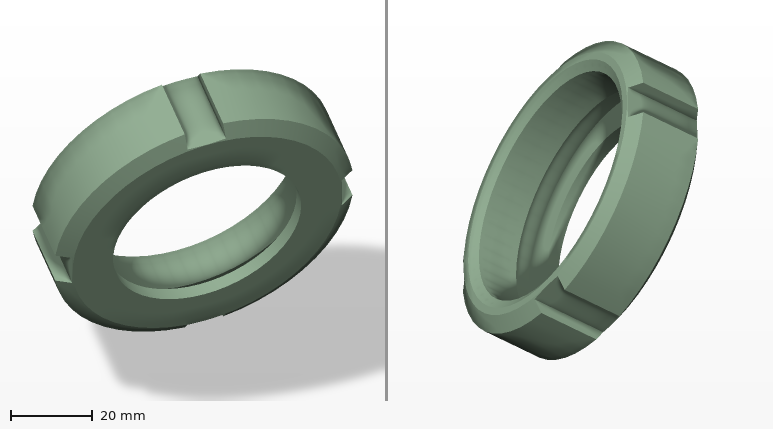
import cadquery as cq
import math

span = 77.35
width = 21.0
slot_width = 10.0
slot_floor = 35.1
face_radius = 35.05
chamfer_length = 2.3
through_diameter = 49.0
bore_diameter = 61.2
mouth_diameter = 66.2
mouth_length = 1.5
relief_diameter = 65.4
relief_length = 5.1
flange_thickness = 3.3
slot_count = 4

outer_radius = math.hypot(span / 2, slot_width / 2)
open_face = -width / 2
closed_face = width / 2
shoulder = closed_face - flange_thickness


def ring_body():
    """Revolve the ring section (axial position, radius) about X."""
    section = [
        (open_face, mouth_diameter / 2),
        (open_face, face_radius),
        (open_face + chamfer_length, outer_radius),
        (closed_face - chamfer_length, outer_radius),
        (closed_face, face_radius),
        (closed_face, through_diameter / 2),
        (shoulder, through_diameter / 2),
        (shoulder, relief_diameter / 2),
        (shoulder - relief_length, relief_diameter / 2),
        (shoulder - relief_length, bore_diameter / 2),
        (open_face + mouth_length, bore_diameter / 2),
    ]
    profile = cq.Workplane("XY").polyline(section).close()
    return profile.revolve(360, (0, 0, 0), (1, 0, 0))


def spanner_slot(angle):
    """Cutter for one full-width slot at the given angle about X."""
    cutter_height = outer_radius
    cutter = cq.Workplane("XY").box(width, slot_width, cutter_height)
    cutter = cutter.translate((0, 0, slot_floor + cutter_height / 2))
    return cutter.rotate((0, 0, 0), (1, 0, 0), angle)


result = ring_body()
for index in range(slot_count):
    result = result.cut(spanner_slot(index * 360 / slot_count))